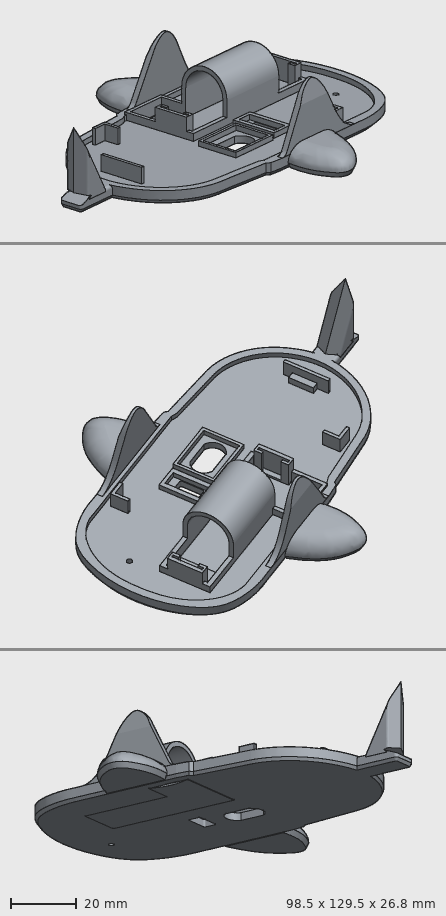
import cadquery as cq
import math

SIDE_X = 30.8
NOSE_Y = 70.6
STERN_Y = -44.2
RIM_Z = 4.3
FLOOR_Z = 2.5
BOTTOM_BEVEL_Z = 1.1
BOTTOM_BEVEL_XY = 0.6

WALL_TOP = 5.1
WALL = 1.6
END_WALL = 1.3
BAY_LEFT = -19.05
BAY_RIGHT = -1.25
BAY_FRONT = 57.5
BAY_REAR = 2.0
SIDE_BAY_LEFT = -28.3
SIDE_BAY_FRONT = 19.5
DOOR_THICK = 0.8
DOOR_FRONT = 49.2
DOOR_GAP = 0.35
BAY_CENTER_X = (BAY_LEFT + BAY_RIGHT) / 2
ARCH_REAR = SIDE_BAY_FRONT - END_WALL
ARCH_FRONT = 43.3
ARCH_SPRING_Z = 10.7

CLIP_WIDTH = 12.3
CLIP_DEPTH = 3.1
CLIP_TOP = 9.8
CLIP_CHEEK = 0.8
CLIP_LIP = 1.0
CLIP_LIP_REACH = 2.75
SILL_TOP = 1.6

HOLDER_TOP = 8.0
BRACKET_LONG = 6.2
BRACKET_SHORT = 5.7
BRACKET_WALL = 1.1
STOP_REAR = -34.0
STOP_WALL = 1.1
RIGHT_BRACKET_CORNER = (25.5, 41.4)
LEFT_BRACKET_CORNER = (-23.7, -13.5)
STOP_X = (-8.2, 7.7)
STOP_STEP_X = (-4.3, 4.5)
STOP_STEP_DEPTH = 3.4
STOP_STEP_TOP = 4.9

SWITCH_FRAME = (0.1, 16.3, 19.5, 27.7)
SWITCH_FRAME_WALL_X = 1.2
SWITCH_FRAME_WALL_Y = 1.6
SWITCH_WINDOW = (4.0, 12.4, 21.4, 25.8)
SWITCH_WINDOW_ROUND = 0.6
SOCKET_FRAME = (2.4, 17.0, 0.1, 18.0)
SOCKET_FRAME_WALL = 1.0
SOCKET_WINDOW = (6.0, 13.8, 2.1, 15.6)
SOCKET_END_RISE = 2.5
LAMP_HOLE_DIAMETER = 1.85
LAMP_HOLE_CENTER = (8.9, 58.4)

NOTCH_HALF_LENGTH = 6.1
NOTCH_DEPTH = 1.15
NOTCH_MIDDLE_Y = 10.8

WING_EDGE_Z = 1.8
WING_TOP = 7.0
WING_TIP_X = 49.245
WING_UNDERSIDE_SCALE = 0.88

FIN_BEND_Z = 18.5
FIN_TOP = 25.3

TAIL_HALF = 4.2
TAIL_END = -58.93
TAIL_TOP = 26.77
TAIL_LEAD_Y = -45.2
TAIL_RIDGE_Y = -57.4
TAIL_FLARE = 1.95
TAIL_FOOT_Z = 5.2
TAIL_NOTCH_Y = -54.0
TONGUE_END_Z = 2.3
TONGUE_ROUND = 1.1
TAIL_ROUND = 0.9


def block(x1, x2, y1, y2, z1, z2):
    """Axis-parallel box between the given limits."""
    return cq.Workplane("XY").box(x2 - x1, y2 - y1, z2 - z1, centered=False).translate((x1, y1, z1))


def hull_outline(nose, flank, stern):
    """Closed wire symmetric about X = 0; each list runs down the +X side."""
    def mirrored(points):
        return [(-x, y) for x, y in reversed(points)]

    bow = mirrored(nose)[:-1] + nose
    tail = stern + mirrored(stern)[1:]
    outline = cq.Workplane("XY").spline(bow)
    for point in flank + stern[:1]:
        outline = outline.lineTo(*point)
    outline = outline.spline(tail[1:], includeCurrent=True)
    for point in mirrored(flank) + bow[:1]:
        outline = outline.lineTo(*point)
    return outline.wire()


def shell_tray():
    outer = hull_outline(
        [(0, NOSE_Y), (16.5, 67.6), (25.9, 61.4), (29.4, 54.6), (SIDE_X, 43.0)],
        [(SIDE_X, 5.0), (30.4, 0.6), (29.4, -0.4)],
        [(27.8, -21.1), (25.2, -29.5), (17.4, -38.3), (10.0, -42.2), (0, STERN_Y)],
    )
    inner = hull_outline(
        [(0, 67.9), (10.5, 66.7), (20.5, 61.9), (24.8, 57.5), (27.5, 50.6)],
        [(27.5, 1.0), (26.7, -1.0)],
        [(25.1, -21.1), (22.5, -28.9), (14.0, -37.6), (4.3, -41.2), (0, -41.6)],
    )
    tray = outer.extrude(RIM_Z).faces("<Z").chamfer(BOTTOM_BEVEL_Z, BOTTOM_BEVEL_XY)
    cavity = inner.extrude(RIM_Z).translate((0, 0, FLOOR_Z))
    return tray.cut(cavity)


def tail_tongue():
    root_y = STERN_Y + 2.0
    profile = [(root_y, 0), (TAIL_END, 0), (TAIL_END, TONGUE_END_Z), (TAIL_NOTCH_Y, RIM_Z), (root_y, RIM_Z)]
    tongue = cq.Workplane("YZ").polyline(profile).close().extrude(TAIL_HALF, both=True)
    tongue = tongue.edges("|Z and <Y").fillet(TONGUE_ROUND)
    tongue = tongue.edges(">Z and |Y").fillet(TONGUE_ROUND)
    return tongue.faces("<Z").chamfer(BOTTOM_BEVEL_Z, BOTTOM_BEVEL_XY)


def tail_fin():
    """Upright fin bounded by a sloping leading V and an upright trailing V."""
    foot_z = RIM_Z - 1.0
    lean = (TAIL_LEAD_Y - TAIL_RIDGE_Y) / (TAIL_TOP - RIM_Z)
    far_y = 2 * TAIL_RIDGE_Y

    def leading_section(z):
        ridge = TAIL_LEAD_Y - lean * (z - RIM_Z)
        side = ridge - TAIL_FLARE
        points = [(0, ridge, z), (TAIL_HALF, side, z), (TAIL_HALF, far_y, z),
                  (-TAIL_HALF, far_y, z), (-TAIL_HALF, side, z)]
        return cq.Wire.makePolygon([cq.Vector(*p) for p in points], close=True)

    leading = cq.Workplane(cq.Solid.makeLoft([leading_section(foot_z), leading_section(TAIL_TOP)], True))
    trailing_side = TAIL_RIDGE_Y + TAIL_FLARE
    trailing = (
        cq.Workplane("XY").workplane(offset=foot_z)
        .moveTo(0, TAIL_RIDGE_Y).lineTo(TAIL_HALF, trailing_side).lineTo(TAIL_HALF, STERN_Y)
        .lineTo(-TAIL_HALF, STERN_Y).lineTo(-TAIL_HALF, trailing_side).close()
        .extrude(TAIL_TOP - foot_z)
    )
    notch = (
        cq.Workplane("YZ")
        .polyline([(TAIL_NOTCH_Y, RIM_Z), (TAIL_RIDGE_Y, TAIL_FOOT_Z), (TAIL_END, TAIL_FOOT_Z), (TAIL_END, 0)])
        .close().extrude(TAIL_HALF, both=True)
    )
    blade = leading.intersect(trailing)
    flanks = blade.faces("<X or >X")
    blade = blade.newObject(flanks.edges("not #Z").vals()).fillet(TAIL_ROUND)
    return blade.cut(notch)


def bay_plan(inset_x, inset_y, z1, z2):
    """L-shaped block of the battery compartment, inset from its outer faces."""
    long_bay = block(BAY_LEFT + inset_x, BAY_RIGHT - inset_x, BAY_REAR + inset_y, BAY_FRONT - inset_y, z1, z2)
    side_bay = block(SIDE_BAY_LEFT + inset_y, BAY_RIGHT - inset_x,
                     BAY_REAR + inset_y, SIDE_BAY_FRONT - inset_y, z1, z2)
    return long_bay.union(side_bay)


def battery_arch():
    """Bridge with a half-round top that holds the battery down."""
    length = ARCH_FRONT - ARCH_REAR

    def bridge(radius):
        return (
            cq.Workplane("XZ", origin=(BAY_CENTER_X, ARCH_FRONT, 0))
            .moveTo(-radius, DOOR_THICK).lineTo(-radius, ARCH_SPRING_Z)
            .threePointArc((0, ARCH_SPRING_Z + radius), (radius, ARCH_SPRING_Z))
            .lineTo(radius, DOOR_THICK).close().extrude(length)
        )

    radius = (BAY_RIGHT - BAY_LEFT) / 2
    return bridge(radius).cut(bridge(radius - WALL))


def contact_clip(outer_y, inward):
    """C-shaped clip; inward is +1 or -1, the Y direction into the bay."""
    def piece(width, depth_1, depth_2, bottom):
        ends = sorted((outer_y + inward * depth_1, outer_y + inward * depth_2))
        return block(BAY_CENTER_X - width / 2, BAY_CENTER_X + width / 2, *ends, bottom, CLIP_TOP)

    body = piece(CLIP_WIDTH, 0, CLIP_DEPTH, DOOR_THICK)
    slot = piece(CLIP_WIDTH - 2 * CLIP_CHEEK, END_WALL, CLIP_DEPTH - CLIP_LIP, DOOR_THICK)
    mouth = piece(CLIP_WIDTH - 2 * CLIP_LIP_REACH, END_WALL, CLIP_DEPTH, DOOR_THICK)
    return body.cut(slot).cut(mouth)


def rear_clip_sill():
    half = CLIP_WIDTH / 2
    front = BAY_REAR + CLIP_DEPTH
    return block(BAY_CENTER_X - half, BAY_CENTER_X + half, BAY_REAR, front, DOOR_THICK, SILL_TOP)


def part_frame(limits, wall_x, wall_y):
    """Low rectangular frame standing on the floor."""
    x1, x2, y1, y2 = limits
    outer = block(x1, x2, y1, y2, FLOOR_Z, RIM_Z)
    return outer.cut(block(x1 + wall_x, x2 - wall_x, y1 + wall_y, y2 - wall_y, FLOOR_Z, RIM_Z))


def switch_window():
    return block(*SWITCH_WINDOW, 0, FLOOR_Z).edges("|Z").fillet(SWITCH_WINDOW_ROUND)


def socket_window():
    left, right, rear, front = SOCKET_WINDOW
    center_x = (left + right) / 2
    rear_shoulder = rear + SOCKET_END_RISE
    front_shoulder = front - SOCKET_END_RISE
    return (
        cq.Workplane("XY").moveTo(left, rear_shoulder).lineTo(left, front_shoulder)
        .threePointArc((center_x, front), (right, front_shoulder)).lineTo(right, rear_shoulder)
        .threePointArc((center_x, rear), (left, rear_shoulder)).close().extrude(FLOOR_Z)
    )


def lamp_hole():
    return cq.Workplane("XY").center(*LAMP_HOLE_CENTER).circle(LAMP_HOLE_DIAMETER / 2).extrude(FLOOR_Z)


def corner_bracket(corner_x, corner_y, arm_direction):
    """L-shaped wall: one arm runs along X, the other towards -Y."""
    x_ends = sorted((corner_x, corner_x + arm_direction * BRACKET_LONG))
    wall_ends = sorted((corner_x, corner_x + arm_direction * BRACKET_WALL))
    along_x = block(*x_ends, corner_y - BRACKET_WALL, corner_y, FLOOR_Z, HOLDER_TOP)
    along_y = block(*wall_ends, corner_y - BRACKET_SHORT, corner_y, FLOOR_Z, HOLDER_TOP)
    return along_x.union(along_y)


def rear_stop():
    step_front = STOP_REAR + STOP_STEP_DEPTH
    upright = block(*STOP_X, STOP_REAR, STOP_REAR + STOP_WALL, FLOOR_Z, HOLDER_TOP)
    step = block(*STOP_STEP_X, STOP_REAR + STOP_WALL, step_front, FLOOR_Z, STOP_STEP_TOP)
    return upright.union(step)


def door_opening(top):
    """Block with the plan of the opening in the floor, from the underside up to the given level."""
    opening = bay_plan(WALL, END_WALL, 0, top)
    return opening.intersect(block(SIDE_BAY_LEFT, BAY_RIGHT, BAY_REAR, DOOR_FRONT, 0, top))


def shell():
    body = shell_tray().union(tail_tongue()).union(tail_fin())
    body = body.union(bay_plan(0, 0, FLOOR_Z, WALL_TOP))
    body = body.cut(bay_plan(WALL, END_WALL, FLOOR_Z, WALL_TOP)).cut(door_opening(FLOOR_Z))
    body = body.union(battery_arch())
    body = body.union(contact_clip(BAY_FRONT, -1)).union(contact_clip(BAY_REAR, 1))
    body = body.union(rear_clip_sill())
    body = body.union(part_frame(SWITCH_FRAME, SWITCH_FRAME_WALL_X, SWITCH_FRAME_WALL_Y))
    body = body.union(part_frame(SOCKET_FRAME, SOCKET_FRAME_WALL, SOCKET_FRAME_WALL))
    body = body.union(corner_bracket(*RIGHT_BRACKET_CORNER, -1))
    body = body.union(corner_bracket(*LEFT_BRACKET_CORNER, 1))
    body = body.union(rear_stop())
    return body.cut(switch_window()).cut(socket_window()).cut(lamp_hole())


def battery_door():
    """Plate filling the opening, with a finger notch in its left edge."""
    left = SIDE_BAY_LEFT + END_WALL + DOOR_GAP
    rear = BAY_REAR + END_WALL + DOOR_GAP
    plate = door_opening(DOOR_THICK).intersect(block(left, BAY_RIGHT, rear, DOOR_FRONT, 0, DOOR_THICK))
    notch = (
        cq.Workplane("XY").moveTo(left, NOTCH_MIDDLE_Y - NOTCH_HALF_LENGTH)
        .threePointArc((left + NOTCH_DEPTH, NOTCH_MIDDLE_Y), (left, NOTCH_MIDDLE_Y + NOTCH_HALF_LENGTH))
        .close().extrude(DOOR_THICK)
    )
    return plate.cut(notch)


def wing():
    """Right wing: a dome that shrinks from its widest outline to a small flat top."""
    widest = [(SIDE_X, 32.2), (36.6, 29.9), (43.2, 25.8), (47.9, 20.0), (WING_TIP_X, 15.9),
              (48.3, 12.8), (45.2, 10.6), (40.9, 8.9), (SIDE_X, 8.5)]
    flat_top = [(SIDE_X, 24.6), (34.5, 22.9), (38.2, 20.6), (41.1, 17.6), (41.8, 16.7),
                (41.0, 16.3), (39.8, 15.9), (37.5, 15.6), (SIDE_X, 15.5)]

    def section(z, spread):
        points = [
            cq.Vector(tx + spread * (wx - tx), ty + spread * (wy - ty), z)
            for (wx, wy), (tx, ty) in zip(widest, flat_top)
        ]
        rim = cq.Edge.makeSpline(points)
        root = cq.Edge.makeLine(points[-1], points[0])
        return cq.Wire.assembleEdges([rim, root])

    rise = WING_TOP - WING_EDGE_Z
    angles = [math.radians(a) for a in (0, 18, 36, 54, 72, 90)]
    dome = cq.Solid.makeLoft([section(WING_EDGE_Z + rise * math.sin(a), math.cos(a)) for a in angles])
    underside = cq.Solid.makeLoft([section(0, WING_UNDERSIDE_SCALE), section(WING_EDGE_Z, 1)], True)
    return cq.Workplane(dome).union(cq.Workplane(underside))


def fin():
    """Right fin standing on the rim: side outline trimmed by a leaning cross-section."""
    side = (
        cq.Workplane("YZ").moveTo(5.7, RIM_Z)
        .spline([(6.7, 4.5), (8.0, 5.7)], includeCurrent=True)
        .lineTo(16.0, 20.6)
        .spline([(19.1, 24.3), (21.3, FIN_TOP), (25.6, 22.6), (27.5, 19.6)], includeCurrent=True)
        .lineTo(31.7, 11.5)
        .spline([(33.2, 9.1), (35.9, 6.2), (40.6, RIM_Z)], includeCurrent=True)
        .close().extrude(SIDE_X)
    )
    thickness = (
        cq.Workplane("XZ")
        .polyline([(28.8, RIM_Z), (SIDE_X, RIM_Z), (30.4, FIN_BEND_Z),
                   (29.1, FIN_TOP), (28.1, FIN_TOP)])
        .close().extrude(-NOSE_Y)
    )
    return side.intersect(thickness)


def mirrored_pair(right_body):
    return [right_body, right_body.mirror("YZ")]


base = shell()
door = battery_door()
wings = mirrored_pair(wing())
fins = mirrored_pair(fin())

result = cq.Compound.makeCompound(
    [base.val(), door.val(), *[body.val() for body in wings + fins]]
)